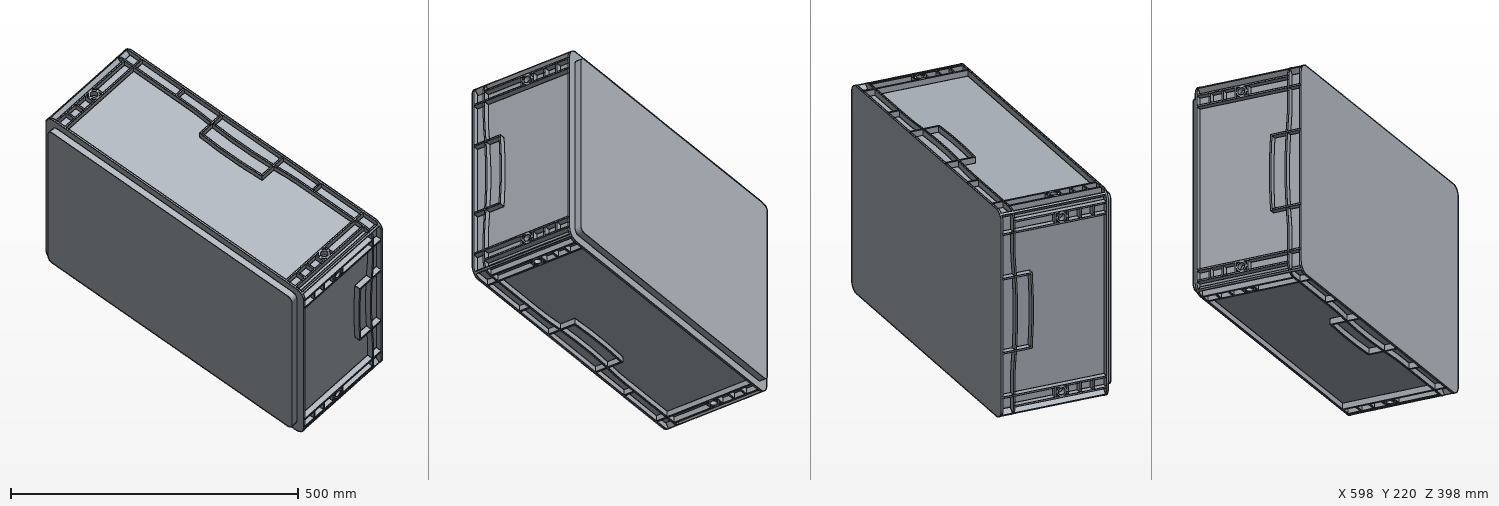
import cadquery as cq
import math

LENGTH = 598.0
DEPTH = 220.0
WIDTH = 398.0
CORNER_RADIUS = 19.0

FOOT_HEIGHT = 12.5
FOOT_INSET = 16.0
FOOT_RADIUS = 10.0

WALL_INSET = 11.5
RIB = 3.0
FLANGE = 3.5
BELT_OFFSET = 25.0
CORNER_RIB = 4.0

CREST_HALF_SPAN = 89.0
BLEND_SPAN = 42.0
BOW_HALF_SPAN = CREST_HALF_SPAN + BLEND_SPAN
BOW_SAG = 5.5
GRIP_HALF_WIDTH = 71.0
GRIP_DROP = 30.5
STIFFENER_OFFSET = 158.5

OUTER_POST = 21.5
INNER_POST = 42.5
PARTITIONS = (106.0, 128.5, 153.5, 179.0)
TUBE_RADIUS = 10.0
TUBE_BORE_RADIUS = 6.5

RIM_Y = DEPTH / 2
BASE_Y = -DEPTH / 2 + FOOT_HEIGHT
BELT_Y = RIM_Y - BELT_OFFSET
TUBE_Y = RIM_Y - (PARTITIONS[0] + PARTITIONS[1]) / 2
LADDER_MIDDLE = (OUTER_POST + INNER_POST) / 2


def rounded_slab(inset, radius, y_low, y_high):
    """Plate parallel to XZ with its four corners rounded."""
    size_y = y_high - y_low
    slab = cq.Workplane("XY").box(LENGTH - 2 * inset, size_y, WIDTH - 2 * inset)
    return slab.edges("|Y").fillet(radius).translate((0, (y_low + y_high) / 2, 0))


def bar(x_low, x_high, y_low, y_high, height):
    """Block centred on Z, given by its extents in X and Y."""
    block = cq.Workplane("XY").box(x_high - x_low, y_high - y_low, height)
    return block.translate(((x_low + x_high) / 2, (y_low + y_high) / 2, 0))


def post(x_middle, y_low, y_high, height):
    """Rib running along Y."""
    return bar(x_middle - RIB / 2, x_middle + RIB / 2, y_low, y_high, height)


def bow_drop(x):
    """Drop of the bowed rib below the straight belt at a distance x from the middle."""
    slope_angle = 2 * math.atan(BOW_SAG / BOW_HALF_SPAN)
    if abs(x) <= CREST_HALF_SPAN:
        radius = CREST_HALF_SPAN / math.sin(slope_angle)
        return BOW_SAG - radius + math.sqrt(radius**2 - x**2)
    radius = BLEND_SPAN / math.sin(slope_angle)
    return radius - math.sqrt(radius**2 - (BOW_HALF_SPAN - abs(x)) ** 2)


def bowed_rib(arc_ends, y_straight, height):
    """Rib along X that follows the bow, one arc between each two neighbours in arc_ends."""

    def add_arcs(outline, ends, y_edge):
        for start, end in zip(ends, ends[1:]):
            middle = (start + end) / 2
            outline = outline.threePointArc(
                (middle, y_edge - bow_drop(middle)), (end, y_edge - bow_drop(end))
            )
        return outline

    upper = y_straight + RIB / 2
    lower = y_straight - RIB / 2
    first, last = arc_ends[0], arc_ends[-1]
    outline = cq.Workplane("XY").moveTo(first, upper - bow_drop(first))
    outline = add_arcs(outline, arc_ends, upper)
    outline = outline.lineTo(last, lower - bow_drop(last))
    outline = add_arcs(outline, arc_ends[::-1], lower)
    return outline.close().extrude(height / 2, both=True)


def ladder(side_length, height):
    """Two post ribs, the partitions between them and the tube, near the +X end."""
    end = side_length / 2
    ribs = post(end - INNER_POST, BASE_Y, RIM_Y, height)
    ribs = ribs.union(post(end - OUTER_POST, BASE_Y, BELT_Y, height))
    for offset in PARTITIONS:
        y = RIM_Y - offset
        ribs = ribs.union(bar(end - INNER_POST, end - OUTER_POST, y - RIB / 2, y + RIB / 2, height))

    tube_area = bar(end - INNER_POST, end - OUTER_POST,
                    RIM_Y - PARTITIONS[1], RIM_Y - PARTITIONS[0], height)
    tube = (
        cq.Workplane("XY")
        .center(end - LADDER_MIDDLE, TUBE_Y)
        .circle(TUBE_RADIUS)
        .circle(TUBE_BORE_RADIUS)
        .extrude(height / 2, both=True)
    )
    return ribs.union(tube.intersect(tube_area))


def side_ribs(side_length, height, stiffener_offsets):
    """Ribs of two opposite sides, running through the part along Z."""
    end_ladder = ladder(side_length, height)
    ribs = end_ladder.union(end_ladder.mirror("YZ"))
    bow_ends = (-BOW_HALF_SPAN, -CREST_HALF_SPAN, CREST_HALF_SPAN, BOW_HALF_SPAN)
    ribs = ribs.union(bowed_rib(bow_ends, BELT_Y, height))

    lip_y = BELT_Y - GRIP_DROP
    lip_end = GRIP_HALF_WIDTH + RIB / 2
    ribs = ribs.union(bowed_rib((-lip_end, lip_end), lip_y, height))
    grip_end_y = lip_y - bow_drop(GRIP_HALF_WIDTH)
    for direction in (-1, 1):
        ribs = ribs.union(post(direction * GRIP_HALF_WIDTH, grip_end_y, RIM_Y, height))
        for offset in stiffener_offsets:
            ribs = ribs.union(post(direction * offset, BELT_Y, RIM_Y, height))
    return ribs


def belt():
    """Belt rib around the part, open where the bowed ribs take over."""
    ring = rounded_slab(0, CORNER_RADIUS, BELT_Y - RIB / 2, BELT_Y + RIB / 2)
    for size_x, size_z in ((2 * BOW_HALF_SPAN, WIDTH), (LENGTH, 2 * BOW_HALF_SPAN)):
        ring = ring.cut(cq.Workplane("XY").box(size_x, DEPTH, size_z))
    return ring


def corner_ribs():
    """Diagonal rib along each of the four rounded corners."""
    reach = 2 * CORNER_RADIUS
    diagonal = cq.Workplane("XY").box(reach, RIM_Y - BASE_Y, CORNER_RIB)
    diagonal = diagonal.rotate((0, 0, 0), (0, 1, 0), -45)
    diagonal = diagonal.translate(
        (LENGTH / 2 - CORNER_RADIUS / 2, (RIM_Y + BASE_Y) / 2, WIDTH / 2 - CORNER_RADIUS / 2)
    )
    pair = diagonal.union(diagonal.mirror("YZ"))
    return pair.union(pair.mirror("XY"))


envelope = rounded_slab(0, CORNER_RADIUS, BASE_Y, RIM_Y)
core = rounded_slab(WALL_INSET, CORNER_RADIUS - WALL_INSET, BASE_Y, RIM_Y)

long_sides = side_ribs(LENGTH, WIDTH, (STIFFENER_OFFSET,))
short_sides = side_ribs(WIDTH, LENGTH, ()).rotate((0, 0, 0), (0, 1, 0), 90)

result = core.union(corner_ribs().intersect(envelope))
result = result.union(belt())
result = result.union(long_sides)
result = result.union(short_sides)
result = result.union(rounded_slab(0, CORNER_RADIUS, RIM_Y - FLANGE, RIM_Y))
result = result.union(rounded_slab(0, CORNER_RADIUS, BASE_Y, BASE_Y + FLANGE))
result = result.union(rounded_slab(FOOT_INSET, FOOT_RADIUS, -DEPTH / 2, BASE_Y))